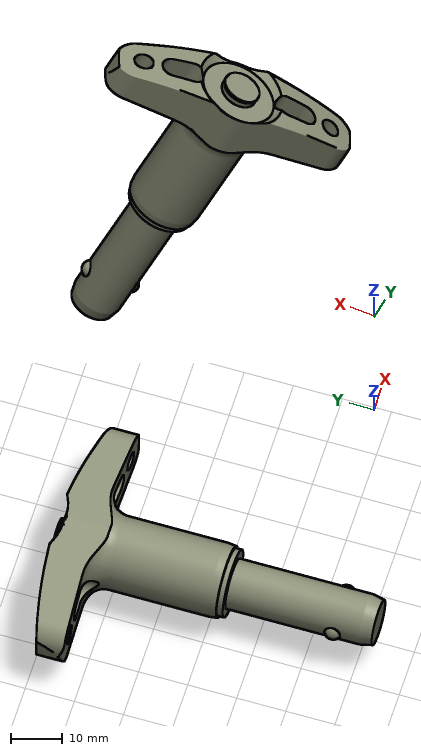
import cadquery as cq
import math


total_length = 65.4
pin_radius = 5.1
tip_radius = 4.6
tip_taper_length = 2.4
sleeve_radius = 7.45
sleeve_start = 12.5
sleeve_taper_start = 32.95
sleeve_taper_end = 34.5
sleeve_taper_radius = 7.25
collar_radius = 6.85
collar_end = 35.8

ball_radius = 1.8
ball_reach = 6.1
ball_depth = 57.55

button_radius = 3.7
button_rim = 0.45
neck_radius = 3.65

handle_length = 51.5
handle_width = 15.75
handle_half_length = handle_length / 2
handle_half_width = handle_width / 2
end_radius = 4.85
end_center = handle_half_length - end_radius

flare_radius = 4.25
underside_angle = math.radians(3.3)
rim_round_radius = 24.65
rim_widest_depth = 7.9
rim_draft = math.radians(7.2)

crown_end_depth = 3.6
dish_rim_radius = 9.35
dish_depth = 1.7
dish_floor_radius = dish_rim_radius - dish_depth
crown_edge_round = 0.2

slot_inner_radius = 2.5
slot_inner_x = 10.3
slot_outer_radius = 2.3
slot_outer_x = 14.3
lanyard_hole_radius = 1.9
lanyard_hole_x = 20.3


def tapered_bar(x1, r1, x2, r2):
    """Solid along the full length of the pin whose section wraps two circles on the X axis."""
    lean = (r1 - r2) / (x2 - x1)
    rise = math.sqrt(1 - lean**2)
    a = (x1 + r1 * lean, r1 * rise)
    b = (x2 + r2 * lean, r2 * rise)
    return (
        cq.Workplane("XZ")
        .moveTo(*a)
        .lineTo(*b)
        .threePointArc((x2 + r2, 0), (b[0], -b[1]))
        .lineTo(a[0], -a[1])
        .threePointArc((x1 - r1, 0), a)
        .close()
        .extrude(total_length)
    )


def mirrored(solid):
    """Join a solid with its reflection across the plane X = 0."""
    return solid.union(solid.mirror("YZ"))


def turned(profile):
    """Close a (radius, y) profile and revolve it about the pin axis."""
    return profile.close().revolve(360, (0, 0, 0), (0, 1, 0))


def disc(radius, start, end):
    """Cylinder on the pin axis between two depths."""
    return cq.Workplane("XZ", origin=(0, -start, 0)).circle(radius).extrude(end - start)


def handle_blank():
    """Turned body: conical underside, rounded rim and concave flare down to the sleeve."""
    flare_center_r = sleeve_radius + flare_radius

    def flare_point(angle):
        return (
            flare_center_r + flare_radius * math.sin(angle),
            -sleeve_start + flare_radius * math.cos(angle),
        )

    flare_top = flare_point(underside_angle)
    flare_mid = flare_point((underside_angle - math.pi / 2) / 2)
    rim_drop = (rim_round_radius - flare_top[0]) * math.tan(underside_angle)
    rim_top_radius = handle_half_length - rim_widest_depth * math.tan(rim_draft)
    profile = (
        cq.Workplane("XY")
        .lineTo(rim_top_radius, 0)
        .lineTo(handle_half_length, -rim_widest_depth)
        .tangentArcPoint((rim_round_radius, flare_top[1] - rim_drop), relative=False)
        .lineTo(*flare_top)
        .threePointArc(flare_mid, (sleeve_radius, -sleeve_start))
        .lineTo(0, -sleeve_start)
    )
    return turned(profile)


def crown():
    """Prism across Z whose upper outline arches from tip to tip of the wings."""
    return (
        cq.Workplane("XY", origin=(0, 0, -handle_half_width))
        .moveTo(-handle_half_length, -crown_end_depth)
        .threePointArc((0, 0), (handle_half_length, -crown_end_depth))
        .lineTo(handle_half_length, -sleeve_start)
        .lineTo(-handle_half_length, -sleeve_start)
        .close()
        .extrude(handle_width)
    )


def dish():
    """Shallow 45 degree conical recess that surrounds the button."""
    profile = (
        cq.Workplane("XY")
        .lineTo(dish_rim_radius, 0)
        .lineTo(dish_floor_radius, -dish_depth)
        .lineTo(0, -dish_depth)
    )
    return turned(profile)


def handle():
    """Blank trimmed to the tapered outline and crown, with the crown edges rounded."""
    outline = mirrored(tapered_bar(0, handle_half_width, end_center, end_radius))
    body = handle_blank().intersect(outline).intersect(crown())
    crown_edges = body.edges("%ELLIPSE")
    return crown_edges.fillet(crown_edge_round)


def wing_holes():
    """Tapered slot and lanyard hole through the wing on each side."""
    slot = tapered_bar(slot_inner_x, slot_inner_radius, slot_outer_x, slot_outer_radius)
    hole = cq.Workplane("XZ").center(lanyard_hole_x, 0).circle(lanyard_hole_radius).extrude(total_length)
    return mirrored(slot.union(hole))


def button():
    """Rimmed button on a slightly narrower neck that sinks into the handle."""
    return disc(button_radius, 0, button_rim).union(disc(neck_radius, button_rim, sleeve_start))


def sleeve_and_pin():
    """Sleeve with a tapered end and collar, then the pin with its tapered tip."""
    profile = (
        cq.Workplane("XY")
        .moveTo(0, -sleeve_start)
        .lineTo(sleeve_radius, -sleeve_start)
        .lineTo(sleeve_radius, -sleeve_taper_start)
        .lineTo(sleeve_taper_radius, -sleeve_taper_end)
        .lineTo(collar_radius, -sleeve_taper_end)
        .lineTo(collar_radius, -collar_end)
        .lineTo(pin_radius, -collar_end)
        .lineTo(pin_radius, tip_taper_length - total_length)
        .lineTo(tip_radius, -total_length)
        .lineTo(0, -total_length)
    )
    return turned(profile)


def locking_balls():
    """Two opposed balls that stand proud of the pin along X."""
    ball = cq.Workplane("XY").sphere(ball_radius).translate((ball_reach - ball_radius, -ball_depth, 0))
    return mirrored(ball)


result = (
    handle()
    .cut(dish())
    .cut(wing_holes())
    .union(button())
    .union(sleeve_and_pin())
    .union(locking_balls())
)